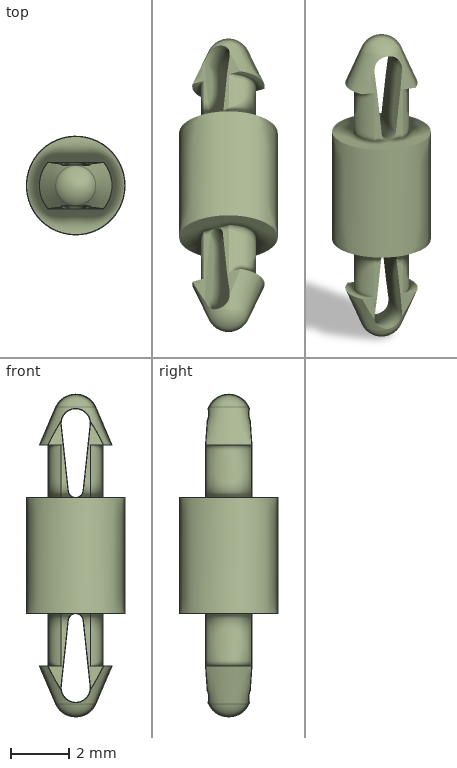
import cadquery as cq
import math

total_length = 11.1
body_diameter = 3.4
body_length = 4.0

stem_diameter = 1.9
pin_thickness = 1.6
barb_flat_draft = math.radians(4)
stem_length = 1.8
barb_diameter = 2.5
dome_base_diameter = 1.38
dome_height = 0.44

slot_wide_radius = 0.5
slot_narrow_radius = 0.25
slot_length = 3.05

tip_z = total_length / 2
body_top = body_length / 2
barb_bottom = body_top + stem_length
dome_base = tip_z - dome_height


def make_pin_blank():
    """Revolved pin with two flats, upright on the stem and leaning inwards on the barb."""
    stem_radius = stem_diameter / 2
    barb_radius = barb_diameter / 2
    dome_base_radius = dome_base_diameter / 2
    dome_radius = (dome_base_radius**2 + dome_height**2) / (2 * dome_height)
    half_angle = math.asin(dome_base_radius / dome_radius) / 2
    dome_middle = (
        dome_radius * math.sin(half_angle),
        tip_z - dome_radius * (1 - math.cos(half_angle)),
    )
    revolved = (
        cq.Workplane("XZ")
        .moveTo(0, 0)
        .lineTo(stem_radius, 0)
        .lineTo(stem_radius, barb_bottom)
        .lineTo(barb_radius, barb_bottom)
        .lineTo(dome_base_radius, dome_base)
        .threePointArc(dome_middle, (0, tip_z))
        .close()
        .revolve(360, (0, 0), (0, 1))
    )
    half_thickness = pin_thickness / 2
    half_tip_thickness = half_thickness - (tip_z - barb_bottom) * math.tan(barb_flat_draft)
    flats = (
        cq.Workplane("YZ")
        .moveTo(-half_thickness, 0)
        .lineTo(half_thickness, 0)
        .lineTo(half_thickness, barb_bottom)
        .lineTo(half_tip_thickness, tip_z)
        .lineTo(-half_tip_thickness, tip_z)
        .lineTo(-half_thickness, barb_bottom)
        .close()
        .extrude(barb_radius, both=True)
    )
    return revolved.intersect(flats)


def make_slot():
    """Two round ends joined by their common tangent lines."""
    slot_bottom = body_top
    slot_top = slot_bottom + slot_length
    wide_z = slot_top - slot_wide_radius
    narrow_z = slot_bottom + slot_narrow_radius
    taper = math.asin((slot_wide_radius - slot_narrow_radius) / (wide_z - narrow_z))

    def tangent_point(radius, center_z):
        return radius * math.cos(taper), center_z - radius * math.sin(taper)

    wide_x, wide_tangent_z = tangent_point(slot_wide_radius, wide_z)
    narrow_x, narrow_tangent_z = tangent_point(slot_narrow_radius, narrow_z)
    return (
        cq.Workplane("XZ")
        .moveTo(wide_x, wide_tangent_z)
        .threePointArc((0, slot_top), (-wide_x, wide_tangent_z))
        .lineTo(-narrow_x, narrow_tangent_z)
        .threePointArc((0, slot_bottom), (narrow_x, narrow_tangent_z))
        .close()
        .extrude(pin_thickness, both=True)
    )


upper_pin = make_pin_blank().cut(make_slot())
lower_pin = upper_pin.mirror("XY")
body = cq.Workplane("XY").cylinder(body_length, body_diameter / 2)

result = body.union(upper_pin).union(lower_pin)